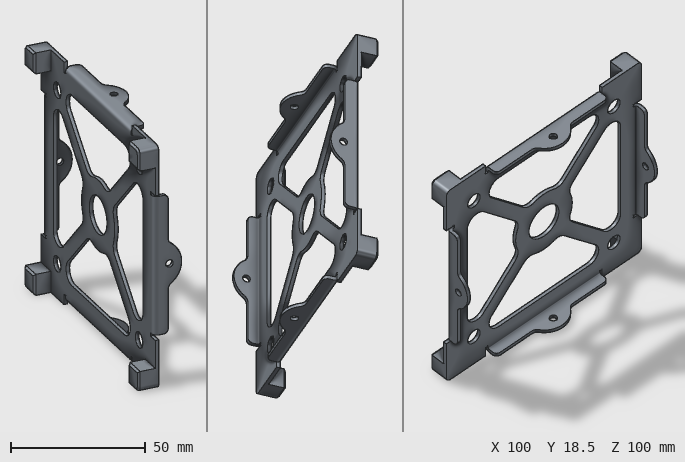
import cadquery as cq
import math

size = 100.0
thickness = 1.5
hub_radius = 14.5
hub_bore = 15.3
spoke_width = 6.0
window_half = 39.2
window_fillet = 4.9
mount_hole = 6.3
mount_offset = 35.8

block_size = 8.7
block_height = 7.0
corner_radius = 2.3
block_chamfer = 0.8

corner_length = 20.2
relief_gap = 1.2
relief_depth = 4.2
flange_inset = 1.4
flange_length = size - 2 * (corner_length + relief_gap)
flange_height = 6.0
flange_fillet = 2.0
bend_radius = 2.3

ear_height = 11.5
ear_radius = 9.8
ear_fillet = 3.0
ear_hole = 3.0
ear_hole_height = 6.5

half = size / 2
pick_margin = 0.1
quarter_turns = [0, 90, 180, 270]


def turned(solid, angle):
    """Turn a feature about the plate axis (Y)."""
    return solid.rotate((0, 0, 0), (0, 1, 0), angle)


def extrude_back(sketch, depth):
    """Extrude an XZ sketch toward +Y."""
    return sketch.extrude(-depth)


def make_plate():
    """Square blank with rounded corners, bored and relieved for the flanges."""
    plate = extrude_back(cq.Workplane("XZ").rect(size, size), thickness)
    plate = plate.edges("|Y").fillet(corner_radius)
    bore = extrude_back(cq.Workplane("XZ").circle(hub_bore / 2), thickness)
    holes = extrude_back(
        cq.Workplane("XZ")
        .rect(2 * mount_offset, 2 * mount_offset, forConstruction=True)
        .vertices()
        .circle(mount_hole / 2),
        thickness,
    )
    plate = plate.cut(bore).cut(holes)
    relief = extrude_back(
        cq.Workplane("XZ")
        .center(0, half - relief_depth / 2)
        .rect(size - 2 * corner_length, relief_depth),
        thickness,
    )
    window = make_window()
    for angle in quarter_turns:
        plate = plate.cut(turned(relief, angle)).cut(turned(window, angle))
    return plate


def make_window():
    """Opening above the hub, between two diagonal spokes."""
    spoke_offset = spoke_width / math.sqrt(2)
    top_corner = window_half - spoke_offset
    triangle = extrude_back(
        cq.Workplane("XZ").polyline(
            [(0, spoke_offset), (top_corner, window_half), (-top_corner, window_half)]
        ).close(),
        thickness,
    )
    hub = extrude_back(cq.Workplane("XZ").circle(hub_radius), thickness)
    return triangle.cut(hub).edges("|Y").fillet(window_fillet)


def make_flange():
    """Bent flange on the +Z side, with its ear and ear hole."""
    outer_face = half - flange_inset
    inner_face = outer_face - thickness
    bend_start = outer_face - bend_radius
    root = half - relief_depth
    inner_radius = bend_radius - thickness
    diagonal = math.cos(math.radians(45))
    profile = (
        cq.Workplane("YZ")
        .moveTo(0, root)
        .lineTo(0, bend_start)
        .threePointArc(
            (bend_radius * (1 - diagonal), bend_start + bend_radius * diagonal),
            (bend_radius, outer_face),
        )
        .lineTo(ear_height, outer_face)
        .lineTo(ear_height, inner_face)
        .lineTo(bend_radius, inner_face)
        .threePointArc(
            (bend_radius - inner_radius * diagonal, bend_start + inner_radius * diagonal),
            (thickness, bend_start),
        )
        .lineTo(thickness, root)
        .close()
    )
    bent_strip = profile.extrude(flange_length / 2, both=True)
    return bent_strip.intersect(make_flange_outline())


def make_flange_outline():
    """Tall prism with the outline of the flange seen along Z."""
    strip = (
        cq.Workplane("XY")
        .center(0, flange_height / 2)
        .rect(flange_length, flange_height)
        .extrude(size)
        .edges("|Z and >Y")
        .fillet(flange_fillet)
    )
    ear_centre = ear_height - ear_radius
    ear = cq.Workplane("XY").center(0, ear_centre).circle(ear_radius).extrude(size)
    below_plate = cq.Workplane("XY").center(0, -size / 2).rect(size, size).extrude(size)
    outline = strip.union(ear.cut(below_plate))
    meeting_x = math.sqrt(ear_radius**2 - (flange_height - ear_centre) ** 2)
    ear_feet = cq.selectors.BoxSelector(
        (-meeting_x - pick_margin, flange_height - pick_margin, 0),
        (meeting_x + pick_margin, flange_height + pick_margin, size),
    )
    outline = outline.edges("|Z").edges(ear_feet).fillet(ear_fillet)
    hole = cq.Workplane("XY").center(0, ear_hole_height).circle(ear_hole / 2).extrude(size)
    return outline.cut(hole)


def make_block():
    """Block at the +X +Z corner, chamfered around its front face."""
    middle = half - block_size / 2
    return (
        cq.Workplane("XZ")
        .center(middle, middle)
        .rect(block_size, block_size)
        .extrude(block_height)
        .edges("|Y and >X and >Z")
        .fillet(corner_radius)
        .faces("<Y")
        .chamfer(block_chamfer)
    )


result = make_plate()
flange = make_flange()
block = make_block()
for angle in quarter_turns:
    result = result.union(turned(flange, angle)).union(turned(block, angle))